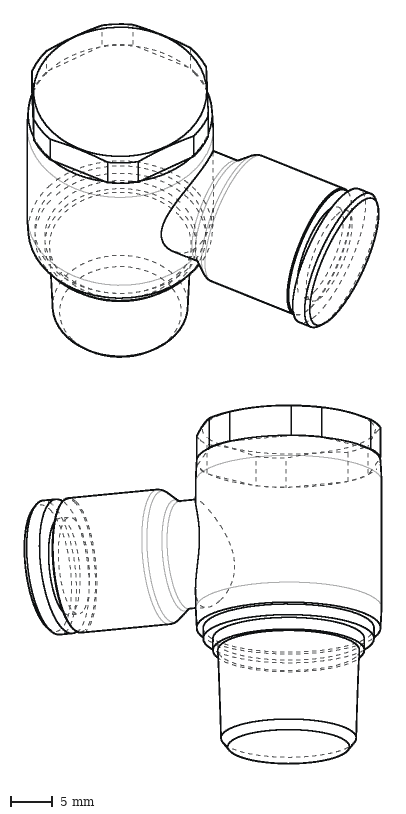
import cadquery as cq
import math

overall_length = 41.85
overall_height = 39.8
body_radius = 11.2

thread_tip_radius = 7.32
thread_small_radius = 8.15
thread_large_radius = 8.55
lower_collar_radius = 9.12
upper_collar_radius = 10.3
body_end_radius = 11.1
thread_chamfer_height = 1.1
thread_top = 12.1
lower_collar_top = 13.55
upper_collar_top = 14.9
body_draft_height = 2.5
body_top = 35.82

head_sides = 6
head_across_flats = 21.0
head_chamfer_width = 0.8
head_chamfer_height = 0.3

arm_height = 25.3
neck_radius = 6.53
neck_end = 13.6
sleeve_radius = 8.15
sleeve_start = 15.6
sleeve_end = 27.33
sleeve_end_chamfer = 0.13
shoulder_blend_radius = 0.9
release_tube_radius = 5.85

button_half_width = 9.25
button_half_height = 8.05
button_thickness = 2.1
button_chamfer = 0.45
button_end = overall_length - body_radius
button_start = button_end - button_thickness


def make_stem():
    """Revolve the stepped stem about the Z axis."""
    profile = [
        (0, 0),
        (thread_tip_radius, 0),
        (thread_small_radius, thread_chamfer_height),
        (thread_large_radius, thread_top),
        (lower_collar_radius, thread_top),
        (lower_collar_radius, lower_collar_top),
        (upper_collar_radius, lower_collar_top),
        (upper_collar_radius, upper_collar_top),
        (body_end_radius, upper_collar_top),
        (body_radius, upper_collar_top + body_draft_height),
        (body_radius, body_top - body_draft_height),
        (body_end_radius, body_top),
        (0, body_top),
    ]
    return cq.Workplane("XZ").polyline(profile).close().revolve(360, (0, 0), (0, 1))


def make_head():
    """Intersect a hexagon, corners on the X axis, with a chamfered disc."""
    head_height = overall_height - body_top
    head_across_corners = head_across_flats / math.cos(math.pi / head_sides)
    hexagon = (
        cq.Workplane("XY", origin=(0, 0, body_top))
        .polygon(head_sides, head_across_corners)
        .extrude(head_height)
    )
    chamfer_start = overall_height - head_chamfer_height
    head_top_radius = body_radius - head_chamfer_width
    disc_profile = [
        (0, body_top),
        (body_radius, body_top),
        (body_radius, chamfer_start),
        (head_top_radius, overall_height),
        (0, overall_height),
    ]
    disc = cq.Workplane("XZ").polyline(disc_profile).close().revolve(360, (0, 0), (0, 1))
    return hexagon.intersect(disc)


def make_arm():
    """Revolve the neck, sleeve and release tube about the arm axis."""
    profile = [
        (0, 0),
        (0, neck_radius),
        (neck_end, neck_radius),
        (sleeve_start, sleeve_radius),
        (sleeve_end - sleeve_end_chamfer, sleeve_radius),
        (sleeve_end, sleeve_radius - sleeve_end_chamfer),
        (sleeve_end, release_tube_radius),
        (button_start, release_tube_radius),
        (button_start, 0),
    ]
    arm = cq.Workplane("XZ").polyline(profile).close().revolve(360, (0, 0), (1, 0))
    slice_half_width = 0.05
    slice_reach = 2 * sleeve_radius
    for shoulder_x in (neck_end, sleeve_start):
        shoulder_slice = cq.selectors.BoxSelector(
            (shoulder_x - slice_half_width, -slice_reach, -slice_reach),
            (shoulder_x + slice_half_width, slice_reach, slice_reach),
            boundingbox=True,
        )
        arm = arm.edges(shoulder_slice).fillet(shoulder_blend_radius)
    return arm.translate((0, 0, arm_height))


def make_button():
    """Extrude the oval button along X and chamfer its outer rim."""
    button = (
        cq.Workplane("YZ", origin=(button_start, 0, arm_height))
        .ellipse(button_half_width, button_half_height)
        .extrude(button_thickness)
    )
    return button.faces(">X").edges().chamfer(button_chamfer)


result = make_stem().union(make_head()).union(make_arm()).union(make_button())